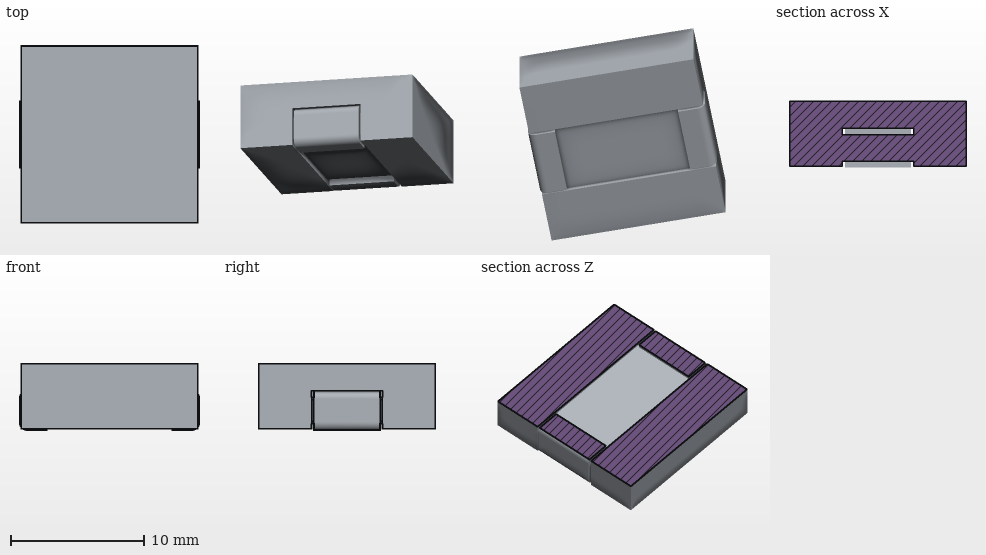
import cadquery as cq

overall_length = 13.5
overall_height = 5.0
body_side = 13.3

terminal_width = 5.0
terminal_height = 2.95
terminal_leg = 2.04
terminal_thickness = 0.47
terminal_outer_radius = 0.6
core_chamfer = 0.2

passage_width = 5.3

terminal_overhang = (overall_length - body_side) / 2
body_height = overall_height - terminal_overhang

core_length = overall_length - 2 * terminal_thickness
core_height = terminal_height - 2 * terminal_thickness


def make_body():
    """Square block with an open-bottomed passage running along X."""
    block = (
        cq.Workplane("XY")
        .workplane(offset=terminal_overhang)
        .box(body_side, body_side, body_height, centered=(True, True, False))
    )
    passage = cq.Workplane("XY").box(
        overall_length, passage_width, terminal_height, centered=(True, True, False)
    )
    return block.cut(passage)


def make_core():
    """Bar spanning the passage, chamfered where the terminals bend around it."""
    return (
        cq.Workplane("XY")
        .workplane(offset=terminal_thickness)
        .box(core_length, passage_width, core_height, centered=(True, True, False))
        .edges("|Y")
        .chamfer(core_chamfer)
    )


def make_left_terminal(core):
    """C-shaped strip at the -X end, with its legs above and below the core."""
    strip = (
        cq.Workplane("XY")
        .box(terminal_leg, terminal_width, terminal_height, centered=(False, True, False))
        .edges("|Y and <X")
        .fillet(terminal_outer_radius)
        .translate((-overall_length / 2, 0, 0))
    )
    return strip.cut(core)


core = make_core()
left_terminal = make_left_terminal(core)
right_terminal = left_terminal.mirror("YZ")

result = make_body().union(core).union(left_terminal).union(right_terminal)